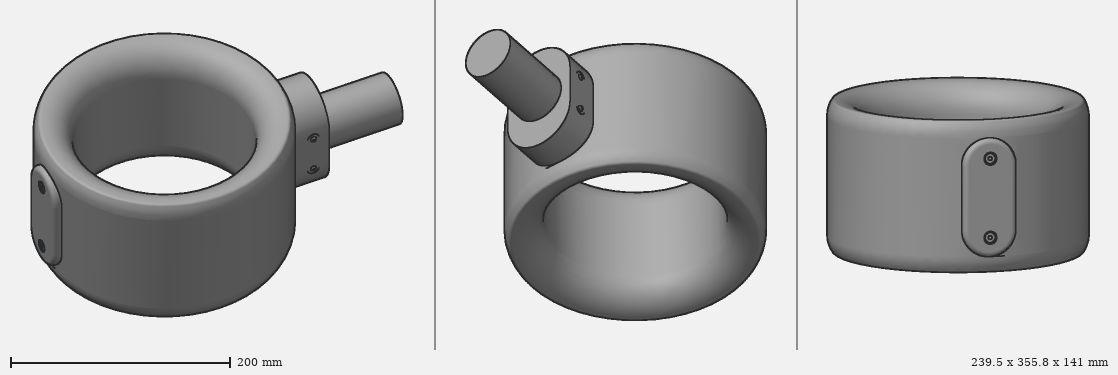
import cadquery as cq
import math

RING_DIAMETER = 239.5
BORE_DIAMETER = 168.0
RING_HEIGHT = 141.0
SHOULDER_RADIUS = 25.0
CREST_RADIUS = 3.2
MOUTH_RADIUS = 28.0
BAND_HEIGHT = 110.3

BOSS_WIDTH = 70.0
BOSS_END_Y = 151.0

TUBE_DIAMETER = 50.0
TUBE_END_Y = 230.5

PLATE_WIDTH = TUBE_DIAMETER
PLATE_FRONT_Y = -125.3
PLATE_EDGE_RADIUS = 5.0

PLATE_SCREW_SPACING = 73.3
PLATE_SEAT_DIAMETER = 11.7
PLATE_SCREW_DIAMETER = 9.5
PLATE_SEAT_DEPTH = 1.0
CENTRE_MARK_DIAMETER = 3.5
CENTRE_MARK_DEPTH = 1.0

SIDE_SCREW_Y = 134.5
SIDE_SCREW_SPACING = 36.5
SIDE_SCREW_DIAMETER = 5.7
SIDE_SCREW_RISE = 1.8
SIDE_SCREW_TIP_DIAMETER = 3.0
SIDE_PAD_DIAMETER = PLATE_SEAT_DIAMETER
SIDE_PAD_DEPTH = 3.5

EMBED_Y = 99.5


def point_on(center, radius, angle):
    return (center[0] + radius * math.cos(angle), center[1] + radius * math.sin(angle))


def make_ring():
    outer = RING_DIAMETER / 2
    bore = BORE_DIAMETER / 2
    top = RING_HEIGHT / 2
    band = BAND_HEIGHT / 2

    shoulder = (outer - SHOULDER_RADIUS, band)
    crest_z = top - CREST_RADIUS
    crest_angle = math.asin((crest_z - band) / (SHOULDER_RADIUS - CREST_RADIUS))
    crest = (shoulder[0] + (SHOULDER_RADIUS - CREST_RADIUS) * math.cos(crest_angle), crest_z)
    mouth = (bore + MOUTH_RADIUS, top - MOUTH_RADIUS)

    upper_half = (
        cq.Workplane("XZ")
        .moveTo(bore, 0)
        .lineTo(outer, 0)
        .lineTo(outer, band)
        .threePointArc(
            point_on(shoulder, SHOULDER_RADIUS, crest_angle / 2),
            point_on(shoulder, SHOULDER_RADIUS, crest_angle),
        )
        .threePointArc(
            point_on(crest, CREST_RADIUS, (crest_angle + math.pi / 2) / 2),
            (crest[0], top),
        )
        .lineTo(mouth[0], top)
        .threePointArc(point_on(mouth, MOUTH_RADIUS, math.radians(135)), (bore, mouth[1]))
        .close()
        .revolve(360, (0, 0, 0), (0, 1, 0))
    )
    return upper_half.union(upper_half.mirror("XY")).clean()


def make_upright_slot(width, start_y, end_y):
    """Bar along Y whose section is a slot as tall as the ring's straight band."""
    return (
        cq.Workplane("XZ", origin=(0, end_y, 0))
        .slot2D(BAND_HEIGHT, width, 90)
        .extrude(end_y - start_y)
    )


def make_plate():
    plate = make_upright_slot(PLATE_WIDTH, PLATE_FRONT_Y, -EMBED_Y)
    return plate.faces("<Y").edges().fillet(PLATE_EDGE_RADIUS)


def make_plate_screw_recess(z):
    """Chamfered seat with a flat floor, and a conical centre mark in that floor."""
    floor_y = PLATE_FRONT_Y + PLATE_SEAT_DEPTH
    recess_profile = [
        (0, PLATE_FRONT_Y),
        (PLATE_SEAT_DIAMETER / 2, PLATE_FRONT_Y),
        (PLATE_SCREW_DIAMETER / 2, floor_y),
        (CENTRE_MARK_DIAMETER / 2, floor_y),
        (0, floor_y + CENTRE_MARK_DEPTH),
    ]
    return (
        cq.Workplane("XY", origin=(0, 0, z))
        .polyline(recess_profile)
        .close()
        .revolve(360, (0, 0, 0), (0, 1, 0))
    )


def make_side_screw(side, z):
    """Tapered screw head on a pad flush with the boss flat; side is +1 or -1 along X."""
    flat = cq.Workplane("YZ", origin=(side * BOSS_WIDTH / 2, SIDE_SCREW_Y, z))
    pad = flat.circle(SIDE_PAD_DIAMETER / 2).extrude(-side * SIDE_PAD_DEPTH)
    head = (
        flat.circle(SIDE_SCREW_DIAMETER / 2)
        .workplane(offset=side * SIDE_SCREW_RISE)
        .circle(SIDE_SCREW_TIP_DIAMETER / 2)
        .loft()
    )
    return pad.union(head)


def make_housing():
    housing = make_ring()
    housing = housing.union(make_upright_slot(BOSS_WIDTH, EMBED_Y, BOSS_END_Y))
    housing = housing.union(make_plate())
    for end in (1, -1):
        housing = housing.cut(make_plate_screw_recess(end * PLATE_SCREW_SPACING / 2))
        for side in (1, -1):
            housing = housing.union(make_side_screw(side, end * SIDE_SCREW_SPACING / 2))
    return housing


def make_tube():
    return (
        cq.Workplane("XZ", origin=(0, BOSS_END_Y, 0))
        .circle(TUBE_DIAMETER / 2)
        .extrude(BOSS_END_Y - TUBE_END_Y)
    )


housing = make_housing()
tube = make_tube()
result = cq.Compound.makeCompound([housing.val(), tube.val()])